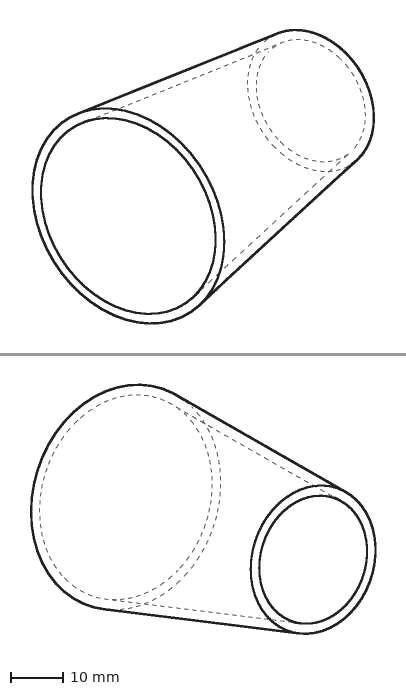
import cadquery as cq

length = 64.0
wide_diameter = 44.0
narrow_diameter = 29.0
wall = 2.0


def cone_frustum(wide_radius, narrow_radius):
    """Solid frustum centred on the origin, tapering towards +Y."""
    return (
        cq.Workplane("XY")
        .moveTo(0, -length / 2)
        .lineTo(wide_radius, -length / 2)
        .lineTo(narrow_radius, length / 2)
        .lineTo(0, length / 2)
        .close()
        .revolve(360, (0, 0, 0), (0, 1, 0))
    )


outer_body = cone_frustum(wide_diameter / 2, narrow_diameter / 2)
tapered_bore = cone_frustum(wide_diameter / 2 - wall, narrow_diameter / 2 - wall)

result = outer_body.cut(tapered_bore)